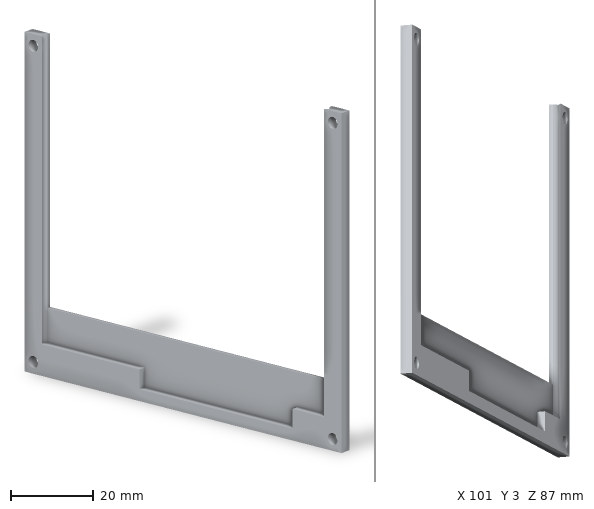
import cadquery as cq

width = 101.0
thickness = 3.0
height = 87.0

arm_width = 5.6
sill_height = 8.1
panel_top = 17.0
panel_thickness = 1.0
inner_width = width - 2 * arm_width

recess_left = 36.6
recess_right = 85.4
recess_floor = 3.0

guide_thickness = thickness - panel_thickness
groove_depth = guide_thickness / 2

hole_diameter = 3.0
hole_side_inset = arm_width / 2
hole_end_inset = 3.0


def box(x, y, z, length, depth, rise):
    """Box with its lowest corner at (x, y, z)."""
    return cq.Workplane("XY").box(length, depth, rise, centered=False).translate((x, y, z))


def arm_groove(face_x, direction):
    """V-groove cut from an inner arm face; direction points into the arm."""
    profile = [
        (face_x, 0),
        (face_x + direction * groove_depth, guide_thickness / 2),
        (face_x, guide_thickness),
    ]
    return (
        cq.Workplane("XY")
        .workplane(offset=sill_height)
        .polyline(profile)
        .close()
        .extrude(height - sill_height)
    )


frame = box(0, 0, 0, width, thickness, height)
frame = frame.cut(box(arm_width, 0, panel_top, inner_width, thickness, height - panel_top))
frame = frame.cut(box(arm_width, 0, sill_height, inner_width, guide_thickness, height - sill_height))

frame = frame.cut(
    box(
        recess_left,
        0,
        recess_floor,
        recess_right - recess_left,
        guide_thickness,
        sill_height - recess_floor,
    )
)

frame = frame.cut(arm_groove(arm_width, -1))
frame = frame.cut(arm_groove(width - arm_width, 1))

for hole_x in (hole_side_inset, width - hole_side_inset):
    for hole_z in (hole_end_inset, height - hole_end_inset):
        hole = (
            cq.Workplane("XZ")
            .center(hole_x, hole_z)
            .circle(hole_diameter / 2)
            .extrude(-thickness)
        )
        frame = frame.cut(hole)

result = frame